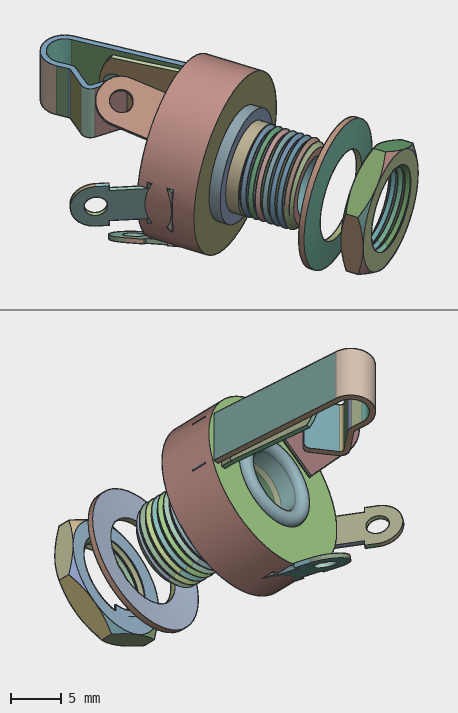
import cadquery as cq
import math


overall_length = 40.65

housing_radius = 9.55
housing_length = 6.25
flange_radius = 6.05
flange_end = 7.48
neck_radius = 4.8
neck_end = 8.85
bushing_end = 14.6
bushing_tip_radius = 4.02
bore_radius = 3.15
mouth_bore_radius = 3.35
mouth_bore_depth = 1.85
mouth_taper_end = 2.45
mouth_rim_radius = 0.85

six_pitch_span = 4.75
thread_pitch = six_pitch_span / 6
thread_major_radius = 4.75
thread_minor_radius = 4.35
thread_root_width = 0.94 * thread_pitch
thread_crest_width = 0.06 * thread_pitch
thread_core_radius = 2.05
bushing_thread_lead = 0.75

sheet = 0.5
spring_sheet = 0.6
spring_half_width = 3.15

spring_slope = 5.1
spring_root_y = 8.5
spring_anchor_start = 0.95
spring_anchor_end = 2.6
spring_anchor_y = 9.05
spring_hook_x = -14.85
spring_hook_radius = 2.15
spring_knee_x = -13.1
spring_valley = (-10.35, 0.7)
spring_bend_radius = 0.7
spring_tip = (-7.68, 4.02)
spring_tip_corner_radius = 0.55

leaf_root_y = 7.4
leaf_bend_x = -1.18
leaf_anchor_depth = 1.2
leaf_slope = 7.2
leaf_length = 10.35
leaf_end_bulge = 1.18
dome_x = -9.9
dome_radius = 1.3
dome_height = 0.55
dimple_radius = 1.15
dimple_depth = 0.5

lug_half_width = 2.55
lug_neck_half_width = 1.95
lug_hole_radius = 1.18
lug_angle_step = 60

sleeve_lug_tilt = 30
sleeve_lug_x = 0.85
sleeve_lug_shoulder = 3.55
sleeve_lug_reach = 4.88
sleeve_lug_root = 2.45

lower_lug_tilt = 12
lower_lug_x = 1.85
lower_lug_shoulder = 2.28
lower_lug_reach = 4.3
lower_lug_root = 3.25

rear_lug_tilt = 20
rear_lug_radius = 7.27
rear_lug_reach = 4.43
rear_lug_root = 0.4
rear_foot_height = 0.12
rear_foot_radius = 6.45

lug_root_gap = 0.25

catch_start_x = 2.25
catch_end_x = 3.85
catch_start_radius = 8.78
catch_peak_radius = 9.6

washer_x = 16.95
washer_outer_radius = 7.9
washer_hole_radius = 4.8
washer_sheet = 0.6
washer_dish = 0.33

nut_x = 20.9
nut_end = spring_hook_x - spring_hook_radius - spring_sheet / 2 + overall_length
nut_length = nut_end - nut_x
nut_across_flats = 12.75
nut_sides = 6
nut_half_sector = 180 / nut_sides
nut_chamfer_angle = 30
nut_drill_radius = 3.65
nut_thread_lead = 0.6


def direction(angle):
    """Unit vector in the XY plane at an angle in degrees from +X."""
    return cq.Vector(math.cos(math.radians(angle)), math.sin(math.radians(angle)), 0)


def overrunning_turns(length):
    """Whole turns of thread that overrun a length at both ends."""
    overrun_turns = 2
    return math.ceil(length / thread_pitch) + overrun_turns


def rounded_corner(before, corner, after, radius):
    """Start, middle and end of the arc that rounds a corner between two straight legs."""
    leg_in = (before - corner).normalized()
    leg_out = (after - corner).normalized()
    half_angle = leg_in.getAngle(leg_out) / 2
    setback = radius / math.tan(half_angle)
    depth = radius / math.sin(half_angle) - radius
    middle = corner + (leg_in + leg_out).normalized() * depth
    return corner + leg_in * setback, middle, corner + leg_out * setback


def revolved(points):
    """Solid of revolution about X from an outline of (X, radius) points."""
    return cq.Workplane("XY").polyline(points).close().revolve(360, (0, 0, 0), (1, 0, 0))


def cylinder(radius, start_x, end_x):
    return cq.Workplane("YZ", origin=(start_x, 0, 0)).circle(radius).extrude(end_x - start_x)


def thread_rod(start_x, turns):
    """Right-handed threaded rod about X with a hollow core, built turn by turn.

    Each turn joins the next along a full helix, so both ends step down by one pitch.
    """
    half_root = thread_root_width / 2
    half_crest = thread_crest_width / 2
    middle = thread_pitch / 2
    profile = [
        (thread_core_radius, 0),
        (thread_minor_radius, 0),
        (thread_minor_radius, middle - half_root),
        (thread_major_radius, middle - half_crest),
        (thread_major_radius, middle + half_crest),
        (thread_minor_radius, middle + half_root),
        (thread_minor_radius, thread_pitch),
        (thread_core_radius, thread_pitch),
    ]

    def helix(corner, turn):
        radius, height = profile[corner]
        wire = cq.Wire.makeHelix(thread_pitch, thread_pitch, radius)
        return wire.translate(cq.Vector(0, 0, height + turn * thread_pitch))

    def helical_face(corner, turn):
        next_corner = (corner + 1) % len(profile)
        return cq.Face.makeRuledSurface(helix(corner, turn), helix(next_corner, turn))

    def end_face(turn):
        corners = [cq.Vector(radius, 0, height + turn * thread_pitch) for radius, height in profile]
        return cq.Face.makeFromWires(cq.Wire.makePolygon(corners, close=True))

    last_corner = len(profile) - 1
    faces = [end_face(0), end_face(turns)]
    faces.append(helical_face(0, 0))
    faces.append(helical_face(last_corner - 1, turns - 1))
    for turn in range(turns):
        faces += [helical_face(corner, turn) for corner in range(1, last_corner - 1)]
        faces.append(helical_face(last_corner, turn))
    rod = cq.Workplane(cq.Solid.makeSolid(cq.Shell.makeShell(faces)))
    return rod.rotate((0, 0, 0), (0, 1, 0), 90).translate((start_x, 0, 0))


def make_housing():
    """Housing with its flange and neck."""
    return revolved(
        [
            (0, 0),
            (0, housing_radius),
            (housing_length, housing_radius),
            (housing_length, flange_radius),
            (flange_end, flange_radius),
            (flange_end, neck_radius),
            (neck_end, neck_radius),
            (neck_end, 0),
        ]
    )


def make_bushing():
    """Threaded tube with a chamfered tip."""
    chamfer = thread_major_radius - bushing_tip_radius
    envelope = revolved(
        [
            (neck_end, bore_radius),
            (neck_end, thread_major_radius),
            (bushing_end - chamfer, thread_major_radius),
            (bushing_end, bushing_tip_radius),
            (bushing_end, bore_radius),
        ]
    )
    turns = overrunning_turns(bushing_end - neck_end)
    return thread_rod(neck_end - bushing_thread_lead, turns).intersect(envelope, clean=False)


def make_mouth_rim():
    """Rounded rim standing out of the rear face around the plug opening."""
    ring_radius = mouth_bore_radius + mouth_rim_radius
    return (
        cq.Workplane("XY")
        .center(0, ring_radius)
        .circle(mouth_rim_radius)
        .revolve(360, (0, -ring_radius, 0), (1, -ring_radius, 0))
    )


def make_mouth_bore():
    """Wider entry of the bore, tapering down to the bore itself."""
    return revolved(
        [
            (0, 0),
            (0, mouth_bore_radius),
            (mouth_bore_depth, mouth_bore_radius),
            (mouth_taper_end, bore_radius),
            (mouth_taper_end, 0),
        ]
    )


def make_spring():
    """Hooked tip spring, bent from one strip."""
    slope = math.tan(math.radians(spring_slope))
    hook_top = 90 + spring_slope
    hook_bottom = 270 + spring_slope
    hook_drop = spring_hook_radius / math.cos(math.radians(spring_slope))
    hook_y = spring_root_y + spring_hook_x * slope - hook_drop
    center = cq.Vector(spring_hook_x, hook_y, 0)
    hook_start = center + direction(hook_top) * spring_hook_radius
    hook_middle = center + direction(180) * spring_hook_radius
    hook_end = center + direction(hook_bottom) * spring_hook_radius
    knee = cq.Vector(spring_knee_x, hook_end.y + (spring_knee_x - hook_end.x) * slope, 0)

    valley = cq.Vector(*spring_valley)
    tip = cq.Vector(*spring_tip)
    knee_start, knee_middle, knee_end = rounded_corner(hook_end, knee, valley, spring_bend_radius)
    valley_start, valley_middle, valley_end = rounded_corner(knee, valley, tip, spring_bend_radius)

    root = cq.Vector(spring_anchor_start, spring_root_y + spring_anchor_start * slope, 0)
    path = cq.Wire.assembleEdges(
        [
            cq.Edge.makeLine(root, hook_start),
            cq.Edge.makeThreePointArc(hook_start, hook_middle, hook_end),
            cq.Edge.makeLine(hook_end, knee_start),
            cq.Edge.makeThreePointArc(knee_start, knee_middle, knee_end),
            cq.Edge.makeLine(knee_end, valley_start),
            cq.Edge.makeThreePointArc(valley_start, valley_middle, valley_end),
            cq.Edge.makeLine(valley_end, tip),
        ]
    )
    section = cq.Plane(origin=root, xDir=(0, 0, 1), normal=direction(180 + spring_slope))
    strip = (
        cq.Workplane(section)
        .rect(2 * spring_half_width, spring_sheet)
        .sweep(cq.Workplane(obj=path))
    )
    tip_region = cq.selectors.BoxSelector(
        (tip - cq.Vector(spring_sheet, spring_sheet, 2 * spring_half_width)).toTuple(),
        (tip + cq.Vector(spring_sheet, spring_sheet, 2 * spring_half_width)).toTuple(),
    )
    end_face = cq.Workplane(strip.faces(tip_region).vals()[0])
    corners = [edge for edge in end_face.edges().vals() if abs(edge.Center().z) > spring_half_width / 2]
    strip = strip.newObject(corners).fillet(spring_tip_corner_radius)

    anchor_length = spring_anchor_end - spring_anchor_start
    anchor = cq.Workplane("XY").box(anchor_length, spring_sheet, 2 * spring_half_width)
    anchor_x = spring_anchor_start + anchor_length / 2
    return strip.union(anchor.translate((anchor_x, spring_anchor_y - spring_sheet / 2, 0)))


def make_leaf():
    """Switch leaf with a rounded free end and a pressed dome facing the spring."""
    root_length = leaf_anchor_depth - leaf_bend_x
    root = cq.Workplane("XY").box(root_length, sheet, 2 * spring_half_width)
    root = root.translate((leaf_bend_x + root_length / 2, leaf_root_y, 0))

    along = direction(180 + leaf_slope)
    across = direction(90 + leaf_slope)
    bend = cq.Vector(leaf_bend_x, leaf_root_y, 0)
    plane = cq.Plane(origin=bend - across * (sheet / 2), xDir=along, normal=across)
    side_length = leaf_length - leaf_end_bulge
    blade = (
        cq.Workplane(plane)
        .moveTo(0, -spring_half_width)
        .lineTo(side_length, -spring_half_width)
        .threePointArc((leaf_length, 0), (side_length, spring_half_width))
        .lineTo(0, spring_half_width)
        .close()
        .extrude(sheet)
    )

    dome_distance = (leaf_bend_x - dome_x) / math.cos(math.radians(leaf_slope))
    dome_middle = bend + along * dome_distance
    dome = spherical_cap(dome_middle + across * (sheet / 2), across, dome_radius, dome_height)
    dimple = spherical_cap(dome_middle - across * (sheet / 2), across, dimple_radius, dimple_depth)
    return root.union(blade).union(dome).cut(dimple)


def spherical_cap(base, axis, radius, height):
    """Spherical cap on a base circle, rising along the axis."""
    plane = cq.Plane(origin=base, xDir=(0, 0, 1), normal=axis)
    sphere_radius = (radius**2 + height**2) / (2 * height)
    half_opening = math.asin(radius / sphere_radius) / 2
    middle = (
        sphere_radius * math.sin(half_opening),
        height - sphere_radius * (1 - math.cos(half_opening)),
    )
    return (
        cq.Workplane(plane)
        .transformed(rotate=(90, 0, 0))
        .lineTo(radius, 0)
        .threePointArc(middle, (0, height))
        .close()
        .revolve(360, (0, 0, 0), (0, 1, 0))
    )


def make_lug(start, tilt, reach, root, shoulder=None):
    """Flat lug toward -X, tilted outward from the -Y side, with a round holed head.

    start is where its outer face begins, reach the distance to the hole and root
    the length behind the start. A shoulder distance narrows the strip up to there.
    """
    plane = cq.Plane(
        origin=start,
        xDir=direction(180 + tilt),
        normal=direction(tilt - 90),
    )
    head = cq.Workplane(plane).center(reach, 0).circle(lug_half_width)
    strip_length = reach + root
    strip = cq.Workplane(plane).center(reach - strip_length / 2, 0).rect(strip_length, 2 * lug_half_width)
    lug = head.extrude(-sheet).union(strip.extrude(-sheet))
    if shoulder is not None:
        neck_length = shoulder + lug_root_gap
        neck_middle = shoulder - neck_length / 2
        notch_width = lug_half_width - lug_neck_half_width
        notch_offset = lug_neck_half_width + notch_width / 2
        notches = (
            cq.Workplane(plane)
            .pushPoints([(neck_middle, -notch_offset), (neck_middle, notch_offset)])
            .rect(neck_length, notch_width)
            .extrude(-sheet)
        )
        lug = lug.cut(notches)
    hole = cq.Workplane(plane).center(reach, 0).circle(lug_hole_radius).extrude(-sheet)
    return lug.cut(hole)


def turned(body, steps):
    """Turn a -Y side feature about the jack axis, toward -Z for positive steps."""
    return body.rotate((0, 0, 0), (1, 0, 0), steps * lug_angle_step)


def make_sleeve_lug():
    """Lug bent out of the -Y side, with the catch at its inner end."""
    lug = make_lug(
        (sleeve_lug_x, -housing_radius, 0),
        sleeve_lug_tilt,
        sleeve_lug_reach,
        sleeve_lug_root,
        sleeve_lug_shoulder,
    )
    catch = (
        cq.Workplane("XY")
        .polyline(
            [
                (catch_start_x, -catch_start_radius),
                (catch_end_x, -catch_peak_radius),
                (catch_end_x, -catch_start_radius),
            ]
        )
        .close()
        .extrude(lug_half_width, both=True)
    )
    return lug.union(catch)


def make_lower_lug():
    """Shallow lug on the lower side of the housing."""
    lug = make_lug(
        (lower_lug_x, -housing_radius, 0),
        lower_lug_tilt,
        lower_lug_reach,
        lower_lug_root,
        lower_lug_shoulder,
    )
    return turned(lug, 1)


def make_rear_lug():
    """Lug rising from a low foot on the rear face of the housing."""
    lug = make_lug((0, -rear_lug_radius, 0), rear_lug_tilt, rear_lug_reach, rear_lug_root)
    foot_length = rear_lug_radius - rear_foot_radius
    foot = cq.Workplane("XY").box(rear_foot_height, foot_length, 2 * lug_half_width)
    foot = foot.translate((-rear_foot_height / 2, -rear_foot_radius - foot_length / 2, 0))
    return turned(lug.union(foot), -1)


def make_jack():
    jack = make_housing().union(make_mouth_rim())
    jack = jack.cut(cylinder(bore_radius, 0, neck_end))
    jack = jack.cut(make_mouth_bore())
    for fitting in (make_spring(), make_leaf(), make_sleeve_lug(), make_lower_lug(), make_rear_lug()):
        jack = jack.union(fitting)
    return jack.union(make_bushing(), clean=False)


def make_washer():
    """Dished ring, higher at its hole than at its rim."""
    return revolved(
        [
            (washer_x, washer_outer_radius),
            (washer_x + washer_sheet, washer_outer_radius),
            (washer_x + washer_sheet + washer_dish, washer_hole_radius),
            (washer_x + washer_dish, washer_hole_radius),
        ]
    )


def make_nut():
    """Hexagon nut, flats toward -Y and +Y, corners cut back by a cone at both ends."""
    flat_radius = nut_across_flats / 2
    corner_radius = flat_radius / math.cos(math.radians(nut_half_sector))
    chamfer_length = (corner_radius - flat_radius) * math.tan(math.radians(nut_chamfer_angle))
    hexagon = (
        cq.Workplane("YZ", origin=(nut_x, 0, 0))
        .polygon(nut_sides, 2 * corner_radius)
        .extrude(nut_length)
        .rotate((0, 0, 0), (1, 0, 0), nut_half_sector)
    )
    envelope = revolved(
        [
            (nut_x, 0),
            (nut_x, flat_radius),
            (nut_x + chamfer_length, corner_radius),
            (nut_end - chamfer_length, corner_radius),
            (nut_end, flat_radius),
            (nut_end, 0),
        ]
    )
    blank = hexagon.intersect(envelope).cut(cylinder(nut_drill_radius, nut_x, nut_end))
    turns = overrunning_turns(nut_length)
    return blank.cut(thread_rod(nut_x - nut_thread_lead, turns), clean=False)


jack = make_jack()
washer = make_washer()
nut = make_nut()

result = cq.Compound.makeCompound([jack.solids().val(), washer.val(), nut.solids().val()])